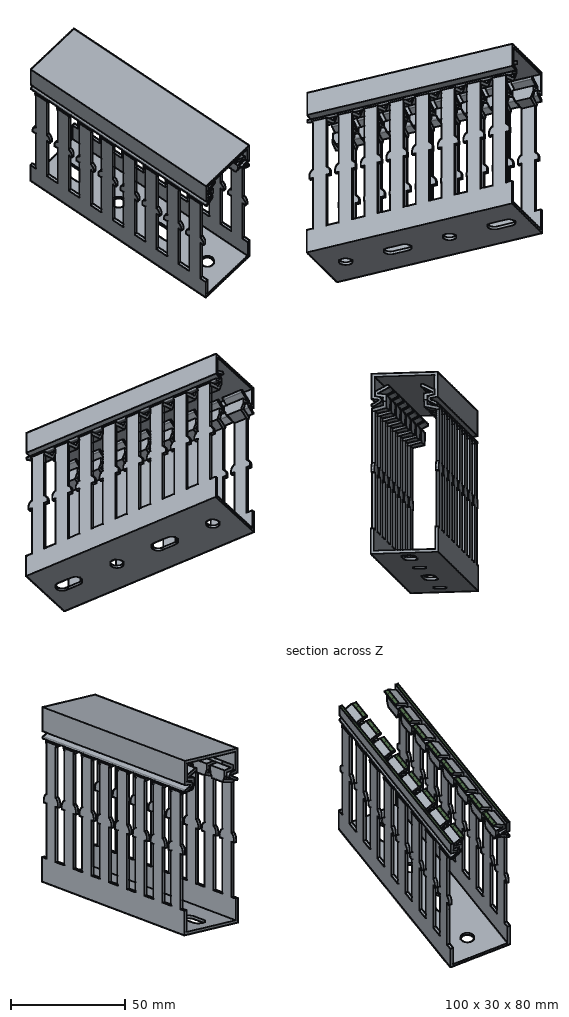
import cadquery as cq
import math

length = 100.0
width = 30.0
height = 80.0
wall = 1.4

half_width = width / 2
rim_corner_z = 65.0
rim_slope = 13.0
neck_out = 9.8
neck_in = neck_out - wall
shelf_slope = 9.0
shelf_z = 69.6
prong_slope = 27.0
prong_root_z = 72.3
prong_reach = 7.7

fin_count = 8
fin_pitch = length / fin_count
fin_half = 3.2
slot_floor_z = 11.3
barb_z = 36.6
barb_half = 5.0
barb_straight = 1.3
barb_top_z = 40.9
flare_start_z = 63.8
flare_end_z = 67.9
flare_half = 5.0

first_hole_x = 12.5
hole_pitch = 25.3
hole_pairs = 2
hole_width = 6.0
hole_length = 13.0

cover_half = 14.7
cover_in = cover_half - wall
bend_centre = (11.6, 68.2)
bend_out = 1.4
lip_thickness = 1.2
bend_in = bend_out - lip_thickness
lip_slope = 28.0


def rise(angle, run):
    """Height gained over a horizontal run on a slope of the given angle."""
    return run * math.tan(math.radians(angle))


def polar(centre, radius, angle):
    """Point at a radius and an angle in degrees from a centre."""
    turn = math.radians(angle)
    return (centre[0] + radius * math.cos(turn), centre[1] + radius * math.sin(turn))


def extrude_symmetric(half_outline):
    """Extrude a closed half section along X and join it to its mirror image in the XZ plane."""
    half = half_outline.close().extrude(length)
    return half.union(half.mirror("XZ")).clean()


def trough_channel():
    """Channel with a floor, two walls and a folded rim on each wall."""
    shelf_end_z = shelf_z + rise(shelf_slope, cover_in - neck_out)
    prong_radius = wall / 2
    prong_drop = prong_radius / math.cos(math.radians(prong_slope))
    tip_z = prong_root_z + rise(prong_slope, cover_in - prong_reach) - prong_drop
    tip = (prong_reach, tip_z)

    shelf_top_z = shelf_z + wall / math.cos(math.radians(shelf_slope)) - rise(shelf_slope, wall)
    prong_under_z = prong_root_z + rise(prong_slope, cover_in - neck_in) - 2 * prong_drop
    slope_sum = rise(shelf_slope, 1) + rise(prong_slope, 1)
    crotch_run = (prong_under_z - shelf_top_z) / slope_sum
    crotch = (neck_in + crotch_run, shelf_top_z + rise(shelf_slope, crotch_run))

    ledge_inner_z = rim_corner_z + rise(rim_slope, half_width - neck_out)
    ledge_drop = wall / math.cos(math.radians(rim_slope))
    ledge_under_z = rim_corner_z - ledge_drop
    outline = (
        cq.Workplane("YZ")
        .moveTo(0, 0)
        .lineTo(half_width, 0)
        .lineTo(half_width, rim_corner_z)
        .lineTo(neck_out, ledge_inner_z)
        .lineTo(neck_out, shelf_z)
        .lineTo(cover_in, shelf_end_z)
        .lineTo(cover_in, prong_root_z)
        .lineTo(*polar(tip, prong_radius, 90 - prong_slope))
        .threePointArc(
            polar(tip, prong_radius, 180 - prong_slope),
            polar(tip, prong_radius, 270 - prong_slope),
        )
        .lineTo(*crotch)
        .lineTo(neck_in, shelf_top_z)
        .lineTo(neck_in, ledge_under_z + rise(rim_slope, half_width - neck_in))
        .lineTo(half_width - wall, ledge_under_z + rise(rim_slope, wall))
        .lineTo(half_width - wall, wall)
        .lineTo(0, wall)
    )
    return extrude_symmetric(outline)


def barb_arc_middle():
    """Middle point of the barb's arc, which starts upright and ends at the fin's side."""
    inset = barb_half - fin_half
    climb = barb_top_z - barb_z - barb_straight
    radius = (inset**2 + climb**2) / (2 * inset)
    centre = (barb_half - radius, barb_z + barb_straight)
    sweep = math.degrees(math.asin(climb / radius))
    return polar(centre, radius, sweep / 2)


def fin_blank(centre_x):
    """One fin seen along Y: straight sides, a barb half way up and a flared head."""
    middle_x, middle_z = barb_arc_middle()
    half = (
        cq.Workplane("XZ", origin=(0, half_width, 0))
        .moveTo(0, 0)
        .lineTo(fin_half, 0)
        .lineTo(fin_half, barb_z)
        .lineTo(barb_half, barb_z)
        .lineTo(barb_half, barb_z + barb_straight)
        .threePointArc((middle_x, middle_z), (fin_half, barb_top_z))
        .lineTo(fin_half, flare_start_z)
        .lineTo(flare_half, flare_end_z)
        .lineTo(flare_half, height)
        .lineTo(0, height)
        .close()
        .extrude(width)
    )
    return half.union(half.mirror("YZ")).translate((centre_x, 0, 0))


def floor_holes():
    """Cutter for the floor: slots along X and round holes, in turn, on the mid plane."""
    slot_places = []
    round_places = []
    for pair in range(hole_pairs):
        slot_x = first_hole_x + 2 * pair * hole_pitch
        slot_places.append((slot_x, 0))
        round_places.append((slot_x + hole_pitch, 0))
    slots = cq.Workplane("XY").pushPoints(slot_places).slot2D(hole_length, hole_width).extrude(wall)
    rounds = cq.Workplane("XY").pushPoints(round_places).circle(hole_width / 2).extrude(wall)
    return slots.union(rounds)


def make_trough():
    """Channel cut into fins above its lower band, with slotted mounting holes in the floor."""
    blank = cq.Workplane("XY").box(length, width, slot_floor_z, centered=(False, True, False))
    for index in range(fin_count):
        blank = blank.union(fin_blank((index + 0.5) * fin_pitch))
    trough = trough_channel().intersect(blank)
    return trough.cut(floor_holes())


def make_cover():
    """Cover with two sides whose lower edges curl in under the trough's shelf and out again."""
    tip_radius = lip_thickness / 2
    lip_start = polar(bend_centre, bend_out - tip_radius, 270 - lip_slope)
    tip_y = cover_half - tip_radius
    tip = (tip_y, lip_start[1] - rise(lip_slope, tip_y - lip_start[0]))

    shelf_end_z = shelf_z + rise(shelf_slope, cover_in - neck_out)
    upper_angle = 90 + shelf_slope
    lower_angle = 270 - lip_slope
    middle_angle = (upper_angle + lower_angle) / 2
    inner_start = polar(bend_centre, bend_in, upper_angle)
    side_end_z = inner_start[1] + rise(shelf_slope, cover_half - inner_start[0])
    outline = (
        cq.Workplane("YZ")
        .moveTo(0, height)
        .lineTo(cover_half, height)
        .lineTo(cover_half, side_end_z)
        .lineTo(*inner_start)
        .threePointArc(
            polar(bend_centre, bend_in, middle_angle),
            polar(bend_centre, bend_in, lower_angle),
        )
        .lineTo(*polar(tip, tip_radius, 90 - lip_slope))
        .threePointArc(
            polar(tip, tip_radius, -lip_slope),
            polar(tip, tip_radius, 270 - lip_slope),
        )
        .lineTo(*polar(bend_centre, bend_out, lower_angle))
        .threePointArc(
            polar(bend_centre, bend_out, middle_angle),
            polar(bend_centre, bend_out, upper_angle),
        )
        .lineTo(cover_in, shelf_end_z)
        .lineTo(cover_in, height - wall)
        .lineTo(0, height - wall)
    )
    return extrude_symmetric(outline)


trough = make_trough()
cover = make_cover()
result = cq.Compound.makeCompound([trough.val(), cover.val()])